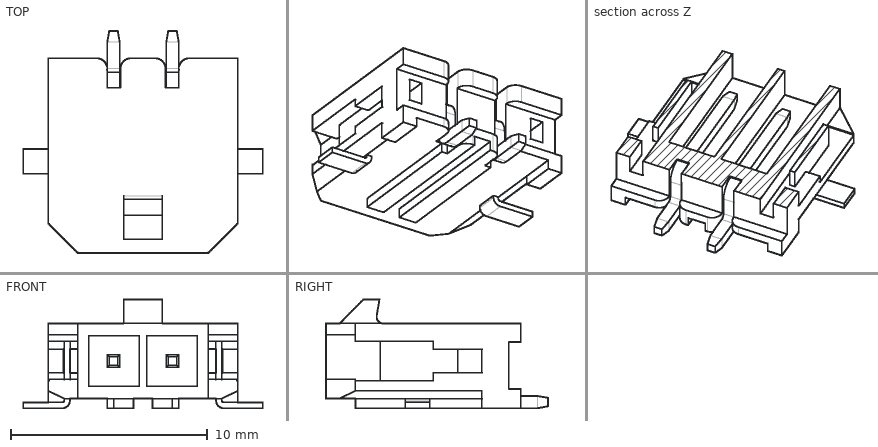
import cadquery as cq
import math


BODY_WIDTH = 9.64
BODY_DEPTH = 9.91
BODY_BOTTOM = 0.5
BODY_TOP = 4.32
MID_Z = (BODY_BOTTOM + BODY_TOP) / 2
HALF_WIDTH = BODY_WIDTH / 2
CORNER_CUT = 1.5
MOUTH_HALF_WIDTH = HALF_WIDTH - CORNER_CUT

BEVEL_WIDTH = 0.81
BEVEL_HEIGHT = 0.39
BEVEL_INNER_X = HALF_WIDTH - BEVEL_WIDTH

BACK_RECESS_DEPTH = 0.6
BACK_RECESS_BOTTOM = 0.99
BACK_RECESS_TOP = 3.37

FOOT_FRONT = 7.93
RIB_INNER_X = 0.48
RIB_WIDTH = 1.0

POCKET_SIZE = 2.55
POCKET_DIVIDER = 0.4
POCKET_X = (POCKET_SIZE + POCKET_DIVIDER) / 2
POCKET_DEPTH = 7.4

PIN_PITCH = 3.0
PIN_SIZE = 0.64
PIN_TIP_SIZE = 0.44
PIN_TIP_LENGTH = 0.56
PIN_FRONT = 2.5
PIN_END = 11.3
PIN_BEND_INNER = 0.22
PIN_BEND_OUTER = PIN_BEND_INNER + PIN_SIZE
PIN_LEG_BACK = 9.18
PIN_LEG_FRONT = PIN_LEG_BACK - PIN_SIZE

PIN_SLOT_X = 1.485
PIN_SLOT_WIDTH = 0.67
PIN_SLOT_DEPTH = 1.5
PIN_SLOT_ROUND = 0.54

WIDE_SLOT_HEIGHT = 2.0
NARROW_SLOT_HEIGHT = 1.2
WIDE_SLOT_BACK = 5.45
NARROW_SLOT_BACK = FOOT_FRONT
CHANNEL_OUTER_X = 4.05
MOUTH_SLOT_BOTTOM = 1.48
MOUTH_SLOT_TOP = 3.75

TAB_THICKNESS = 0.3
TAB_OUTER_X = 4.01
TAB_INNER_X = TAB_OUTER_X - TAB_THICKNESS
TAB_FRONT = 2.77
TAB_BACK = 6.71
TAIL_FRONT = 4.03
TAIL_WIDTH = 1.26
TAIL_END_X = 6.1
TAB_BEND_INNER = 0.1
TAB_BEND_OUTER = TAB_BEND_INNER + TAB_THICKNESS

LATCH_WIDTH = 1.97
LATCH_TOP = 5.54
LATCH_FRONT = 0.7
LATCH_CREST_FRONT = 1.91
LATCH_CREST_BACK = 2.73
LATCH_UNDERCUT = math.radians(9.5)
LATCH_HEEL_RADIUS = 0.335
LATCH_ROOT = 0.2

SIDES = (-1, 1)


def box(x_range, y_range, z_range):
    """Box spanning the given (start, end) ranges; the X ends may come in either order."""
    x_min, x_max = sorted(x_range)
    size = (x_max - x_min, y_range[1] - y_range[0], z_range[1] - z_range[0])
    corner = (x_min, y_range[0], z_range[0])
    return cq.Workplane("XY").box(*size, centered=False).translate(corner)


def centred_z(height):
    """Z range of the given height about the contact centre line."""
    return (MID_Z - height / 2, MID_Z + height / 2)


def body_block():
    """Housing block with cut front corners and bevelled lower side edges."""
    section = (
        cq.Workplane("XZ")
        .moveTo(-BEVEL_INNER_X, BODY_BOTTOM)
        .lineTo(BEVEL_INNER_X, BODY_BOTTOM)
        .lineTo(HALF_WIDTH, BODY_BOTTOM + BEVEL_HEIGHT)
        .lineTo(HALF_WIDTH, BODY_TOP)
        .lineTo(-HALF_WIDTH, BODY_TOP)
        .lineTo(-HALF_WIDTH, BODY_BOTTOM + BEVEL_HEIGHT)
        .close()
        .extrude(-BODY_DEPTH)
    )
    plan = (
        cq.Workplane("XY")
        .moveTo(-MOUTH_HALF_WIDTH, 0)
        .lineTo(MOUTH_HALF_WIDTH, 0)
        .lineTo(HALF_WIDTH, CORNER_CUT)
        .lineTo(HALF_WIDTH, BODY_DEPTH)
        .lineTo(-HALF_WIDTH, BODY_DEPTH)
        .lineTo(-HALF_WIDTH, CORNER_CUT)
        .close()
        .extrude(BODY_TOP)
    )
    return section.intersect(plan)


def supports(side):
    """Rear foot and bottom rib on one side."""
    foot = box(
        (side * BEVEL_INNER_X, side * HALF_WIDTH),
        (FOOT_FRONT, BODY_DEPTH),
        (0, BODY_BOTTOM + BEVEL_HEIGHT),
    )
    rib = box(
        (side * RIB_INNER_X, side * (RIB_INNER_X + RIB_WIDTH)),
        (CORNER_CUT, BODY_DEPTH),
        (0, BODY_BOTTOM),
    )
    return foot.union(rib)


def back_recess():
    return box(
        (-HALF_WIDTH, HALF_WIDTH),
        (BODY_DEPTH - BACK_RECESS_DEPTH, BODY_DEPTH),
        (BACK_RECESS_BOTTOM, BACK_RECESS_TOP),
    )


def contact_pocket(side):
    x = side * POCKET_X
    half = POCKET_SIZE / 2
    return box((x - half, x + half), (0, POCKET_DEPTH), centred_z(POCKET_SIZE))


def pin_slot(side):
    """Vertical slot open to the back, its mouth flared by two quarter rounds."""
    half = PIN_SLOT_WIDTH / 2
    return (
        cq.Workplane("XY")
        .center(side * PIN_SLOT_X, BODY_DEPTH)
        .moveTo(-half - PIN_SLOT_ROUND, 0)
        .radiusArc((-half, -PIN_SLOT_ROUND), PIN_SLOT_ROUND)
        .lineTo(-half, -PIN_SLOT_DEPTH)
        .lineTo(half, -PIN_SLOT_DEPTH)
        .lineTo(half, -PIN_SLOT_ROUND)
        .radiusArc((half + PIN_SLOT_ROUND, 0), PIN_SLOT_ROUND)
        .close()
        .extrude(BODY_TOP)
    )


def side_slot(side):
    """Stepped slot in one side wall, open at the mouth and continued by a channel to the back."""
    full_x = (side * MOUTH_HALF_WIDTH, side * HALF_WIDTH)
    channel_x = (side * MOUTH_HALF_WIDTH, side * CHANNEL_OUTER_X)
    mouth = box(full_x, (0, CORNER_CUT), (MOUTH_SLOT_BOTTOM, MOUTH_SLOT_TOP))
    wide = box(full_x, (CORNER_CUT, WIDE_SLOT_BACK), centred_z(WIDE_SLOT_HEIGHT))
    narrow = box(full_x, (WIDE_SLOT_BACK, NARROW_SLOT_BACK), centred_z(NARROW_SLOT_HEIGHT))
    channel = box(channel_x, (NARROW_SLOT_BACK, BODY_DEPTH), centred_z(NARROW_SLOT_HEIGHT))
    return mouth.union(wide).union(narrow).union(channel)


def latch():
    """Ramp with an undercut back that meets the top face in a tangent heel round."""
    root_y = LATCH_CREST_BACK - (LATCH_TOP - BODY_TOP) * math.tan(LATCH_UNDERCUT)
    tangent_length = LATCH_HEEL_RADIUS / math.tan((math.pi / 2 - LATCH_UNDERCUT) / 2)
    neck_y = root_y + tangent_length * math.sin(LATCH_UNDERCUT)
    neck_z = BODY_TOP + tangent_length * math.cos(LATCH_UNDERCUT)
    return (
        cq.Workplane("YZ")
        .moveTo(LATCH_FRONT, BODY_TOP)
        .lineTo(LATCH_CREST_FRONT, LATCH_TOP)
        .lineTo(LATCH_CREST_BACK, LATCH_TOP)
        .lineTo(neck_y, neck_z)
        .radiusArc((root_y + tangent_length, BODY_TOP), -LATCH_HEEL_RADIUS)
        .lineTo(root_y + tangent_length, BODY_TOP - LATCH_ROOT)
        .lineTo(LATCH_FRONT, BODY_TOP - LATCH_ROOT)
        .close()
        .extrude(LATCH_WIDTH / 2, both=True)
    )


def housing():
    body = body_block()
    for side in SIDES:
        body = body.union(supports(side))
    body = body.cut(back_recess())
    for side in SIDES:
        body = body.cut(contact_pocket(side))
        body = body.cut(pin_slot(side))
        body = body.cut(side_slot(side))
    return body.union(latch())


def pin_tip(y, z, direction):
    """Tapered square end starting at (y, z) and pointing along +Y (1) or -Y (-1)."""
    plane = cq.Plane(origin=(0, y, z), xDir=(1, 0, 0), normal=(0, direction, 0))
    taper = math.degrees(math.atan2((PIN_SIZE - PIN_TIP_SIZE) / 2, PIN_TIP_LENGTH))
    return cq.Workplane(plane).rect(PIN_SIZE, PIN_SIZE).extrude(PIN_TIP_LENGTH, taper=taper)


def pin(side):
    """Square pin running back, down to the board and out behind the housing."""
    shank_bottom, shank_top = centred_z(PIN_SIZE)
    shank_start = PIN_FRONT + PIN_TIP_LENGTH
    tail_stop = PIN_END - PIN_TIP_LENGTH
    bar = (
        cq.Workplane("YZ")
        .moveTo(shank_start, shank_bottom)
        .lineTo(shank_start, shank_top)
        .lineTo(PIN_LEG_BACK - PIN_BEND_OUTER, shank_top)
        .radiusArc((PIN_LEG_BACK, shank_top - PIN_BEND_OUTER), PIN_BEND_OUTER)
        .lineTo(PIN_LEG_BACK, PIN_BEND_OUTER)
        .radiusArc((PIN_LEG_BACK + PIN_BEND_INNER, PIN_SIZE), -PIN_BEND_INNER)
        .lineTo(tail_stop, PIN_SIZE)
        .lineTo(tail_stop, 0)
        .lineTo(PIN_LEG_FRONT + PIN_BEND_OUTER, 0)
        .radiusArc((PIN_LEG_FRONT, PIN_BEND_OUTER), PIN_BEND_OUTER)
        .lineTo(PIN_LEG_FRONT, shank_bottom - PIN_BEND_INNER)
        .radiusArc((PIN_LEG_FRONT - PIN_BEND_INNER, shank_bottom), -PIN_BEND_INNER)
        .close()
        .extrude(PIN_SIZE / 2, both=True)
    )
    bar = bar.union(pin_tip(shank_start, MID_Z, -1))
    bar = bar.union(pin_tip(tail_stop, PIN_SIZE / 2, 1))
    return bar.translate((side * PIN_PITCH / 2, 0, 0))


def solder_tab():
    """Stepped plate in the +X side slot, with a tail bent outward onto the board."""
    plate_x = (TAB_INNER_X, TAB_OUTER_X)
    wide = box(plate_x, (TAB_FRONT, WIDE_SLOT_BACK), centred_z(WIDE_SLOT_HEIGHT))
    narrow = box(plate_x, (WIDE_SLOT_BACK, TAB_BACK), centred_z(NARROW_SLOT_HEIGHT))
    tail = (
        cq.Workplane("XZ")
        .moveTo(TAB_INNER_X, MID_Z)
        .lineTo(TAB_OUTER_X, MID_Z)
        .lineTo(TAB_OUTER_X, TAB_BEND_OUTER)
        .radiusArc((TAB_OUTER_X + TAB_BEND_INNER, TAB_THICKNESS), -TAB_BEND_INNER)
        .lineTo(TAIL_END_X, TAB_THICKNESS)
        .lineTo(TAIL_END_X, 0)
        .lineTo(TAB_INNER_X + TAB_BEND_OUTER, 0)
        .radiusArc((TAB_INNER_X, TAB_BEND_OUTER), TAB_BEND_OUTER)
        .close()
        .extrude(-TAIL_WIDTH)
        .translate((0, TAIL_FRONT, 0))
    )
    return wide.union(narrow).union(tail)


result = housing()
for side in SIDES:
    result = result.union(pin(side))
right_tab = solder_tab()
result = result.union(right_tab).union(right_tab.mirror("YZ"))